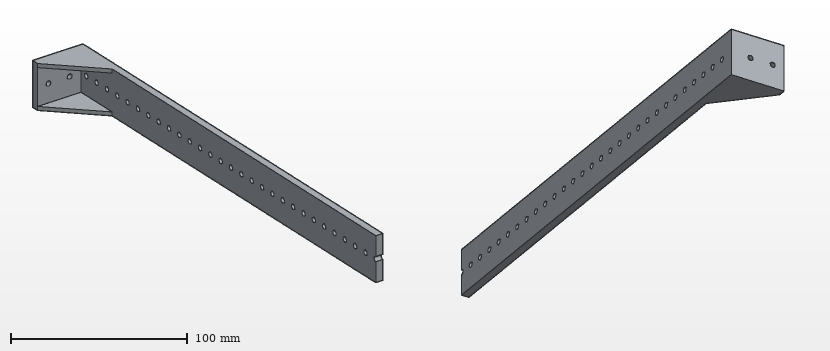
import cadquery as cq

length = 290.0
depth = 35.0
height = 30.0
wall = 5.0
gusset_thickness = 2.5

hole_diameter = 3.2
hole_count = 29
hole_pitch = length / hole_count
flange_hole_offsets = (12.8, 27.5)
mid_height = height / 2


def make_leg(size_x, size_y):
    """Full-height leg running forward (-Y) and to +X from the outer corner."""
    return cq.Workplane("XY").box(size_x, size_y, height, centered=False).translate((0, -size_y, 0))


def make_gusset(base_z):
    """Corner plate with a sloped edge joining the tips of the two legs."""
    outline = [(0, 0), (depth, 0), (depth, -wall), (wall, -depth), (0, -depth)]
    return cq.Workplane("XY", origin=(0, 0, base_z)).polyline(outline).close().extrude(gusset_thickness)


bracket = make_leg(length, wall).union(make_leg(wall, depth))
for base_z in (0, height - gusset_thickness):
    bracket = bracket.union(make_gusset(base_z))

arm_hole_points = [(index * hole_pitch, mid_height) for index in range(1, hole_count + 1)]
arm_holes = (
    cq.Workplane("XZ")
    .pushPoints(arm_hole_points)
    .circle(hole_diameter / 2)
    .extrude(wall)
)

flange_hole_points = [(-offset, mid_height) for offset in flange_hole_offsets]
flange_holes = (
    cq.Workplane("YZ")
    .pushPoints(flange_hole_points)
    .circle(hole_diameter / 2)
    .extrude(wall)
)

result = bracket.cut(arm_holes).cut(flange_holes)